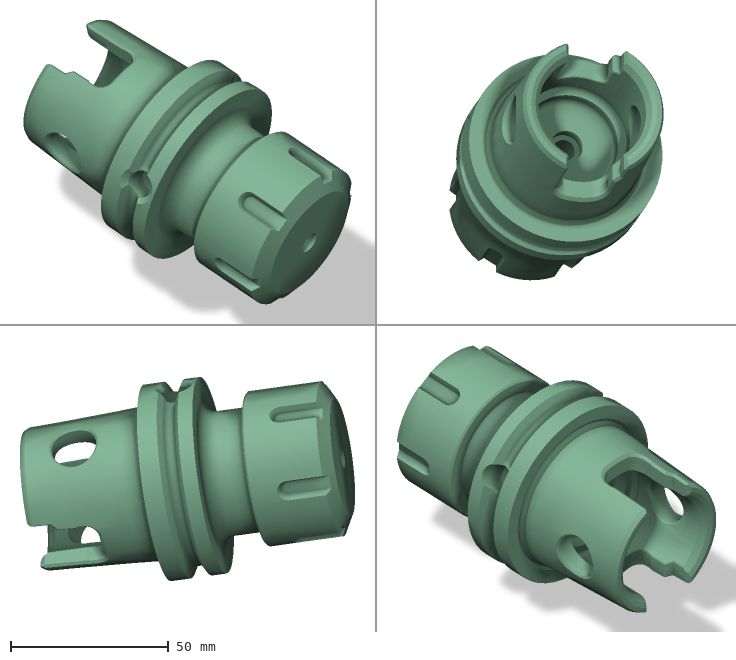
import cadquery as cq
import math


OVERALL_LENGTH = 99.95
FLANGE_START = 40.0
FLANGE_END = 58.0
NUT_START = 72.5

FLANGE_RADIUS = 31.5
NECK_RADIUS = 20.0
NECK_FILLET = 4.0
NUT_RADIUS = 24.9

TAPER_BASE_X = 38.6
TAPER_BASE_RADIUS = 24.8
TAPER_SLOPE = 0.05
MOUTH_CHAMFER_LENGTH = 1.7
MOUTH_RADIUS = 22.1
UNDERCUT_BOTTOM_X = 39.3
UNDERCUT_DEPTH = 0.5
UNDERCUT_FACE_DEPTH = 0.6
UNDERCUT_INNER_RADIUS = 25.8
UNDERCUT_OUTER_RADIUS = 26.8

BORE_MOUTH_RADIUS = 20.5
BORE_LEAD_RADIUS = 19.0
BORE_RADIUS = 17.5
BORE_LEAD_LENGTH = 0.8
BORE_CONE_END = 3.0
BORE_END = 30.2
CHAMBER_RADIUS = 18.8
CHAMBER_START = 31.8
CHAMBER_END = 34.2
CHAMBER_FILLET = 0.8
INNER_BORE_RADIUS = 15.7
INNER_BORE_END = 38.6
INNER_BORE_FILLET = 1.4
COUNTERBORE_RADIUS = 5.2
COUNTERBORE_DEPTH = 4.0
THROUGH_RADIUS = 3.5

SLOT_HALF_WIDTH = 8.1
SLOT_RELIEF = 0.3
SLOT_RELIEF_START = 15.2
SLOT_RELIEF_FULL = 16.2
SLOT_END = 22.0
SLOT_CORNER = 4.0
SLOT_STEP_HALF_WIDTH = 10.0
SLOT_STEP_START = 7.2
SLOT_STEP_END = 9.2
SLOT_MOUTH_FLARE = 1.0
SLOT_CHAMFER = 1.0

SIDE_HOLE_X = 17.7
SIDE_HOLE_RADIUS = 7.3
SIDE_HOLE_CHAMFER = 0.7
RELIEF_OUTER_Y = 23.0
RELIEF_INNER_Y = 10.0
RELIEF_SLOPE = 0.6

INNER_CHAMFER = 0.3

GROOVE_X = 49.8
GROOVE_WIDTH = 6.8
GROOVE_FLOOR_RADIUS = 27.9
GROOVE_HALF_ANGLE = 30.0
GROOVE_FILLET = 0.9

FLANGE_HOLE_X = 51.1
FLANGE_HOLE_RADIUS = 4.3
FLANGE_HOLE_TILT = 30.0
FLANGE_HOLE_FLOOR = 21.2
DRILL_POINT_ANGLE = 118.0
SINK_RADIUS = 6.2
SINK_DEPTH = 1.9

NUT_BACK_CHAMFER = 0.6
NUT_FRONT_CHAMFER_X = 96.7
NUT_FRONT_RADIUS = 19.0
NUT_SLOT_COUNT = 6
NUT_SLOT_FLOOR = 22.1
NUT_SLOT_HALF_WIDTH = 2.3
NUT_SLOT_ARC_X = 84.9
NUT_SLOT_WALL_ANGLE = 20.0
NUT_SLOT_FILLET = 0.4

NOSE_END = NUT_FRONT_CHAMFER_X

OVERCUT = 0.4
PICK_MARGIN = 0.1

AXIS_START = (0, 0, 0)
AXIS_END = (1, 0, 0)


def revolve_about_x(outline):
    return outline.close().revolve(360, AXIS_START, AXIS_END)


def turn_about_x(body, angle):
    return body.rotate(AXIS_START, AXIS_END, angle)


def taper_radius(x):
    return TAPER_BASE_RADIUS - TAPER_SLOPE * (TAPER_BASE_X - x)


def holder_blank():
    return revolve_about_x(
        cq.Workplane("XY")
        .lineTo(0, MOUTH_RADIUS)
        .lineTo(MOUTH_CHAMFER_LENGTH, taper_radius(MOUTH_CHAMFER_LENGTH))
        .lineTo(TAPER_BASE_X, TAPER_BASE_RADIUS)
        .lineTo(UNDERCUT_BOTTOM_X, TAPER_BASE_RADIUS - UNDERCUT_DEPTH)
        .lineTo(FLANGE_START + UNDERCUT_FACE_DEPTH, UNDERCUT_INNER_RADIUS)
        .lineTo(FLANGE_START, UNDERCUT_OUTER_RADIUS)
        .lineTo(FLANGE_START, FLANGE_RADIUS)
        .lineTo(FLANGE_END, FLANGE_RADIUS)
        .lineTo(FLANGE_END, NECK_RADIUS + NECK_FILLET)
        .radiusArc((FLANGE_END + NECK_FILLET, NECK_RADIUS), -NECK_FILLET)
        .lineTo(NOSE_END, NECK_RADIUS)
        .lineTo(NOSE_END, 0)
    )


def bore():
    counterbore_floor = INNER_BORE_END + COUNTERBORE_DEPTH
    return revolve_about_x(
        cq.Workplane("XY")
        .lineTo(0, BORE_MOUTH_RADIUS)
        .lineTo(BORE_LEAD_LENGTH, BORE_LEAD_RADIUS)
        .lineTo(BORE_CONE_END, BORE_RADIUS)
        .lineTo(BORE_END, BORE_RADIUS)
        .lineTo(CHAMBER_START, CHAMBER_RADIUS)
        .lineTo(CHAMBER_END - CHAMBER_FILLET, CHAMBER_RADIUS)
        .radiusArc((CHAMBER_END, CHAMBER_RADIUS - CHAMBER_FILLET), CHAMBER_FILLET)
        .lineTo(CHAMBER_END, INNER_BORE_RADIUS)
        .lineTo(INNER_BORE_END - INNER_BORE_FILLET, INNER_BORE_RADIUS)
        .radiusArc((INNER_BORE_END, INNER_BORE_RADIUS - INNER_BORE_FILLET), INNER_BORE_FILLET)
        .lineTo(INNER_BORE_END, COUNTERBORE_RADIUS)
        .lineTo(counterbore_floor, COUNTERBORE_RADIUS)
        .lineTo(counterbore_floor, THROUGH_RADIUS)
        .lineTo(OVERALL_LENGTH, THROUGH_RADIUS)
        .lineTo(OVERALL_LENGTH, 0)
    )


def gripper_groove():
    depth = FLANGE_RADIUS - GROOVE_FLOOR_RADIUS
    half_top = GROOVE_WIDTH / 2
    half_floor = half_top - depth * math.tan(math.radians(GROOVE_HALF_ANGLE))
    ring = revolve_about_x(
        cq.Workplane("XY")
        .moveTo(GROOVE_X - half_top, FLANGE_RADIUS)
        .lineTo(GROOVE_X - half_floor, GROOVE_FLOOR_RADIUS)
        .lineTo(GROOVE_X + half_floor, GROOVE_FLOOR_RADIUS)
        .lineTo(GROOVE_X + half_top, FLANGE_RADIUS)
    )
    floor_edges = cq.selectors.BoxSelector(
        (GROOVE_X - half_floor - PICK_MARGIN, -FLANGE_RADIUS, -FLANGE_RADIUS),
        (GROOVE_X + half_floor + PICK_MARGIN, FLANGE_RADIUS, FLANGE_RADIUS),
    )
    return ring.edges("%CIRCLE").edges(floor_edges).fillet(GROOVE_FILLET)


def drive_slots():
    relief_half_width = SLOT_HALF_WIDTH + SLOT_RELIEF
    corner_start = SLOT_END - SLOT_CORNER
    flat_half_width = relief_half_width - SLOT_CORNER
    return (
        cq.Workplane("XY", origin=(0, 0, -FLANGE_RADIUS))
        .moveTo(0, SLOT_HALF_WIDTH + SLOT_MOUTH_FLARE)
        .lineTo(MOUTH_CHAMFER_LENGTH, SLOT_HALF_WIDTH)
        .lineTo(SLOT_RELIEF_START, SLOT_HALF_WIDTH)
        .lineTo(SLOT_RELIEF_FULL, relief_half_width)
        .lineTo(corner_start, relief_half_width)
        .radiusArc((SLOT_END, flat_half_width), SLOT_CORNER)
        .lineTo(SLOT_END, -flat_half_width)
        .radiusArc((corner_start, -relief_half_width), SLOT_CORNER)
        .lineTo(SLOT_RELIEF_FULL, -relief_half_width)
        .lineTo(SLOT_RELIEF_START, -SLOT_HALF_WIDTH)
        .lineTo(SLOT_STEP_END, -SLOT_HALF_WIDTH)
        .lineTo(SLOT_STEP_START, -SLOT_STEP_HALF_WIDTH)
        .lineTo(MOUTH_CHAMFER_LENGTH, -SLOT_STEP_HALF_WIDTH)
        .lineTo(0, -SLOT_STEP_HALF_WIDTH - SLOT_MOUTH_FLARE)
        .close()
        .extrude(2 * FLANGE_RADIUS)
    )


def side_holes():
    return (
        cq.Workplane("XZ", origin=(SIDE_HOLE_X, 0, 0))
        .circle(SIDE_HOLE_RADIUS)
        .extrude(FLANGE_RADIUS, both=True)
    )


def side_hole_relief():
    outer_center = cq.Vector(SIDE_HOLE_X, RELIEF_OUTER_Y, 0)
    rim = cq.Wire.makeCircle(SIDE_HOLE_RADIUS, outer_center, cq.Vector(0, 1, 0))
    depth = RELIEF_OUTER_Y - RELIEF_INNER_Y
    lean = cq.Vector(-RELIEF_SLOPE * depth, -depth, 0)
    return cq.Workplane(cq.Solid.extrudeLinear(rim, [], lean))


def opening_rims(body, kind, wall_end):
    faces = body.faces(kind).vals()
    wall = next(face for face in faces if abs(face.BoundingBox().xmax - wall_end) < PICK_MARGIN)
    first_x = wall.BoundingBox().xmin + PICK_MARGIN
    last_x = SIDE_HOLE_X + SIDE_HOLE_RADIUS
    return [edge for edge in wall.Edges() if first_x < edge.Center().x < last_x]


def chamfer_slots(body):
    outer = opening_rims(body, "%CONE", TAPER_BASE_X)
    outer = [edge for edge in outer if edge.geomType() != "LINE"]
    body = body.newObject(outer).chamfer(SLOT_CHAMFER)
    inner = opening_rims(body, "%CYLINDER", BORE_END)
    inner = [edge for edge in inner if abs(edge.Center().z) > SIDE_HOLE_RADIUS]
    return body.newObject(inner).chamfer(INNER_CHAMFER)


def chamfer_side_holes(body):
    walls = (
        ("%CONE", TAPER_BASE_X, SIDE_HOLE_CHAMFER),
        ("%CYLINDER", BORE_END, INNER_CHAMFER),
    )
    for kind, wall_end, size in walls:
        rims = [
            edge
            for edge in opening_rims(body, kind, wall_end)
            if edge.geomType() != "LINE" and abs(edge.Center().z) < SIDE_HOLE_RADIUS
        ]
        body = body.newObject(rims).chamfer(size)
    return body


def flange_hole():
    point_length = FLANGE_HOLE_RADIUS / math.tan(math.radians(DRILL_POINT_ANGLE / 2))
    return (
        cq.Workplane("XZ")
        .moveTo(0, FLANGE_HOLE_FLOOR - point_length)
        .lineTo(FLANGE_HOLE_RADIUS, FLANGE_HOLE_FLOOR)
        .lineTo(FLANGE_HOLE_RADIUS, FLANGE_RADIUS)
        .lineTo(0, FLANGE_RADIUS)
        .close()
        .revolve(360, (0, 0, 0), (0, 1, 0))
        .translate((FLANGE_HOLE_X, 0, 0))
    )


def flange_hole_sink():
    return (
        cq.Workplane("XY", origin=(FLANGE_HOLE_X, 0, FLANGE_RADIUS - SINK_DEPTH))
        .circle(FLANGE_HOLE_RADIUS)
        .workplane(offset=SINK_DEPTH)
        .circle(SINK_RADIUS)
        .loft()
    )


def make_holder():
    body = holder_blank().cut(bore()).cut(gripper_groove())
    body = chamfer_slots(body.cut(drive_slots()))
    body = chamfer_side_holes(body.cut(side_holes()))
    body = body.cut(side_hole_relief())
    hole_angle = 90 - FLANGE_HOLE_TILT
    body = body.cut(turn_about_x(flange_hole_sink(), hole_angle))
    for angle in (hole_angle, -hole_angle):
        body = body.cut(turn_about_x(flange_hole(), angle))
    return body


def nut_blank():
    return revolve_about_x(
        cq.Workplane("XY")
        .moveTo(NUT_START, NECK_RADIUS)
        .lineTo(NUT_START, NUT_RADIUS - NUT_BACK_CHAMFER)
        .lineTo(NUT_START + NUT_BACK_CHAMFER, NUT_RADIUS)
        .lineTo(NUT_FRONT_CHAMFER_X, NUT_RADIUS)
        .lineTo(OVERALL_LENGTH, NUT_FRONT_RADIUS)
        .lineTo(OVERALL_LENGTH, THROUGH_RADIUS)
        .lineTo(NOSE_END, THROUGH_RADIUS)
        .lineTo(NOSE_END, NECK_RADIUS)
    )


def nut_slot():
    half = NUT_SLOT_HALF_WIDTH
    depth = NUT_RADIUS - NUT_SLOT_FLOOR + OVERCUT
    return (
        cq.Workplane("XY", origin=(0, 0, NUT_SLOT_FLOOR))
        .moveTo(OVERALL_LENGTH, half)
        .lineTo(NUT_SLOT_ARC_X, half)
        .threePointArc((NUT_SLOT_ARC_X - half, 0), (NUT_SLOT_ARC_X, -half))
        .lineTo(OVERALL_LENGTH, -half)
        .close()
        .extrude(depth, taper=-NUT_SLOT_WALL_ANGLE)
        .faces("<Z")
        .edges("not >X")
        .fillet(NUT_SLOT_FILLET)
    )


def make_nut():
    body = nut_blank()
    for index in range(NUT_SLOT_COUNT):
        angle = 90 + index * 360 / NUT_SLOT_COUNT
        body = body.cut(turn_about_x(nut_slot(), angle))
    return body


holder = make_holder()
nut = make_nut()

result = cq.Compound.makeCompound([holder.val(), nut.val()])